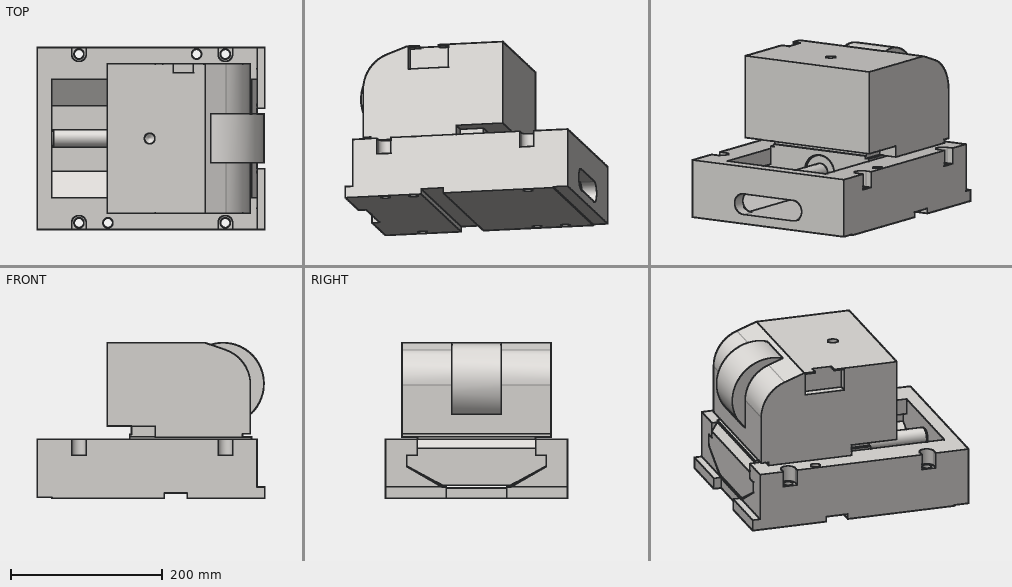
import cadquery as cq
import math

BASE_LENGTH = 300.0
BASE_WIDTH = 240.0
BASE_HEIGHT = 78.0
BODY_END_X = 289.8
FOOT_HEIGHT = 15.0
FOOT_NOTCH_WIDTH = 79.2
KEYWAY_X = 167.7
KEYWAY_WIDTH = 30.0
KEYWAY_DEPTH = 7.0
HEEL_LENGTH = 19.5
HEEL_RELIEF = 1.2

END_WALL = 19.5
LIP_HALF_WIDTH = 77.7
LIP_Z = 57.0
GROOVE_HALF_WIDTH = 91.5
CHANNEL_GROOVE_Z = 41.7
CHANNEL_FLOOR_HALF_WIDTH = 43.2
CHANNEL_FLOOR_Z = 13.8
SLIDE_GROOVE_Z = 42.3
SLIDE_FLOOR_HALF_WIDTH = 45.0
SLIDE_FLOOR_Z = 17.0

HANDHOLE_WIDTH = 106.2
HANDHOLE_HEIGHT = 27.5
HANDHOLE_Z = CHANNEL_FLOOR_Z + HANDHOLE_HEIGHT / 2

HOLE_DIAMETER = 12.5
HOLE_ROW_Y = 111.0
BOLT_XS = (55.2, 247.8)
SEAT_WIDTH = 19.2
SEAT_DEPTH = 21.0
DOWEL_PLACES = ((210.0, HOLE_ROW_Y), (93.3, -HOLE_ROW_Y))

TOTAL_HEIGHT = 205.0
HEAD_WIDTH = 196.5
HEAD_START_X = 92.5
HEAD_END_X = 280.8
HEAD_BOTTOM_Z = 95.0
SLOPE_START_X = 221.0
NOSE_START_X = 248.5
NOSE_START_Z = 195.3
SLIDE_START_X = 121.8
SLIDE_END_X = 282.3
SLIDE_TOP_Z = 81.0
BEVEL_BOTTOM_Z = 66.0
LEDGE_TOP_Z = 84.3
CORE_START_X = 124.2
CORE_WIDTH = 145.2
SKIRT_START_X = 155.5
SKIRT_END_X = 270.5
SKIRT_BOTTOM_Z = 80.5
NOSE_BOTTOM_Z = 85.0

ROLLER_RADIUS = 54.0
ROLLER_WIDTH = 64.5
ROLLER_X = 244.8
ROLLER_Z = TOTAL_HEIGHT - ROLLER_RADIUS

OIL_HOLE_X = 148.2
OIL_HOLE_DIAMETER = 13.8
OIL_HOLE_DEPTH = 30.0
DRILL_TIP_ANGLE = 118.0
SIDE_SLOT_X = 179.5
SIDE_SLOT_WIDTH = 26.5
SIDE_RECESS_WIDTH = 54.0
SIDE_RECESS_DEPTH = 11.7
SIDE_RECESS_BOTTOM_Z = 174.0
LID_THICKNESS = 1.8

SCREW_RADIUS = 11.7
SCREW_Z = 54.5
SCREW_START_X = END_WALL
SCREW_END_X = 210.0
SCREW_CHAMFER = 2.5
RECESS_RADIUS = 23.5
RECESS_DEPTH = 1.8
RECESS_TAPER = 30.0


def block(x_start, x_end, width, z_start, z_end):
    """Box centred on Y = 0."""
    return (
        cq.Workplane("XY")
        .box(x_end - x_start, width, z_end - z_start, centered=(False, True, False))
        .translate((x_start, 0, z_start))
    )


def rod(radius, x_start, x_end):
    """Round rod on the screw axis."""
    return cq.Workplane("YZ", origin=(x_start, 0, SCREW_Z)).circle(radius).extrude(x_end - x_start)


def guide_prism(x_start, x_end, top_z, groove_z, floor_half_width, floor_z):
    """Guide section: straight lips, a wider groove and slopes down to a flat floor."""
    half = [
        (LIP_HALF_WIDTH, top_z),
        (LIP_HALF_WIDTH, LIP_Z),
        (GROOVE_HALF_WIDTH, LIP_Z),
        (GROOVE_HALF_WIDTH, groove_z),
        (floor_half_width, floor_z),
    ]
    mirrored = [(-y, z) for y, z in reversed(half)]
    return (
        cq.Workplane("YZ", origin=(x_start, 0, 0))
        .polyline(half + mirrored)
        .close()
        .extrude(x_end - x_start)
    )


def bolt_seat(x, side):
    """U-shaped seat open to the side of the base."""
    reach = BASE_WIDTH / 2 - HOLE_ROW_Y
    seat_floor = cq.Workplane("XY", origin=(x, side * HOLE_ROW_Y, BASE_HEIGHT - SEAT_DEPTH))
    round_end = seat_floor.circle(SEAT_WIDTH / 2).extrude(SEAT_DEPTH)
    mouth = seat_floor.center(0, side * reach / 2).rect(SEAT_WIDTH, reach).extrude(SEAT_DEPTH)
    return round_end.union(mouth)


def make_base():
    """Base block with a foot, keyway, guide channel, handhole, bolt holes and dowel holes."""
    base = block(0, BODY_END_X, BASE_WIDTH, 0, BASE_HEIGHT)
    base = base.union(block(0, BASE_LENGTH, BASE_WIDTH, 0, FOOT_HEIGHT))
    base = base.cut(block(BODY_END_X, BASE_LENGTH, FOOT_NOTCH_WIDTH, 0, FOOT_HEIGHT))
    base = base.cut(block(KEYWAY_X, KEYWAY_X + KEYWAY_WIDTH, BASE_WIDTH, 0, KEYWAY_DEPTH))
    base = base.cut(block(0, HEEL_LENGTH, BASE_WIDTH, 0, HEEL_RELIEF))
    channel = guide_prism(
        END_WALL, BODY_END_X, BASE_HEIGHT, CHANNEL_GROOVE_Z, CHANNEL_FLOOR_HALF_WIDTH, CHANNEL_FLOOR_Z
    )
    base = base.cut(channel)
    handhole = (
        cq.Workplane("YZ", origin=(0, 0, HANDHOLE_Z))
        .slot2D(HANDHOLE_WIDTH, HANDHOLE_HEIGHT)
        .extrude(END_WALL)
    )
    base = base.cut(handhole)

    bolt_places = [(x, side * HOLE_ROW_Y) for x in BOLT_XS for side in (-1, 1)]
    holes = (
        cq.Workplane("XY")
        .pushPoints(bolt_places + list(DOWEL_PLACES))
        .circle(HOLE_DIAMETER / 2)
        .extrude(BASE_HEIGHT)
    )
    base = base.cut(holes)
    for x in BOLT_XS:
        for side in (-1, 1):
            base = base.cut(bolt_seat(x, side))
    return base


def make_head():
    """Head block with a sloped top that runs into a rounded nose."""
    slope = math.atan2(TOTAL_HEIGHT - NOSE_START_Z, NOSE_START_X - SLOPE_START_X)
    nose_radius = (HEAD_END_X - NOSE_START_X) / (1 - math.sin(slope))
    nose_x = HEAD_END_X - nose_radius
    nose_z = NOSE_START_Z - nose_radius * math.cos(slope)
    mid_angle = (math.pi / 2 - slope) / 2
    nose_middle = (nose_x + nose_radius * math.cos(mid_angle), nose_z + nose_radius * math.sin(mid_angle))
    return (
        cq.Workplane("XZ", origin=(0, HEAD_WIDTH / 2, 0))
        .moveTo(HEAD_START_X, HEAD_BOTTOM_Z)
        .lineTo(HEAD_START_X, TOTAL_HEIGHT)
        .lineTo(SLOPE_START_X, TOTAL_HEIGHT)
        .lineTo(NOSE_START_X, NOSE_START_Z)
        .threePointArc(nose_middle, (HEAD_END_X, nose_z))
        .lineTo(HEAD_END_X, NOSE_BOTTOM_Z)
        .lineTo(SKIRT_END_X, NOSE_BOTTOM_Z)
        .lineTo(SKIRT_END_X, SKIRT_BOTTOM_Z)
        .lineTo(SKIRT_START_X, SKIRT_BOTTOM_Z)
        .lineTo(SKIRT_START_X, HEAD_BOTTOM_Z)
        .close()
        .extrude(HEAD_WIDTH)
    )


def make_oil_hole():
    """Drilled blind hole with a conical bottom."""
    radius = OIL_HOLE_DIAMETER / 2
    tip = radius / math.tan(math.radians(DRILL_TIP_ANGLE / 2))
    return (
        cq.Workplane("XZ", origin=(OIL_HOLE_X, 0, TOTAL_HEIGHT))
        .polyline([(0, 0), (radius, 0), (radius, -OIL_HOLE_DEPTH), (0, -OIL_HOLE_DEPTH - tip)])
        .close()
        .revolve(360, (0, 0), (0, 1))
    )


def make_slide():
    """Slide that fits the guide channel, bevelled at the foot end, with a raised core under the head."""
    slide = guide_prism(
        SLIDE_START_X, BODY_END_X, SLIDE_TOP_Z, SLIDE_GROOVE_Z, SLIDE_FLOOR_HALF_WIDTH, SLIDE_FLOOR_Z
    )
    bevel = (
        cq.Workplane("XZ", origin=(0, BASE_WIDTH / 2, 0))
        .moveTo(SLIDE_END_X, SLIDE_TOP_Z)
        .lineTo(SLIDE_END_X, BASE_HEIGHT)
        .lineTo(BODY_END_X, BEVEL_BOTTOM_Z)
        .lineTo(BODY_END_X, SLIDE_TOP_Z)
        .close()
        .extrude(BASE_WIDTH)
    )
    slide = slide.cut(bevel)
    ledge = block(SLIDE_START_X, SKIRT_END_X, CORE_WIDTH, SLIDE_TOP_Z, LEDGE_TOP_Z)
    core = block(CORE_START_X, SKIRT_END_X, CORE_WIDTH, SLIDE_TOP_Z, HEAD_BOTTOM_Z)
    return slide.union(ledge).union(core)


def make_side_recess():
    """Recess in the +Y side under a thin lid, with a slot up through the lid."""
    floor_y = HEAD_WIDTH / 2 - SIDE_RECESS_DEPTH
    slot_height = TOTAL_HEIGHT - SIDE_RECESS_BOTTOM_Z
    slot_middle = SIDE_SLOT_X + SIDE_SLOT_WIDTH / 2
    recess = (
        cq.Workplane("XY", origin=(slot_middle - SIDE_RECESS_WIDTH / 2, floor_y, SIDE_RECESS_BOTTOM_Z))
        .box(SIDE_RECESS_WIDTH, SIDE_RECESS_DEPTH, slot_height - LID_THICKNESS, centered=False)
    )
    slot = (
        cq.Workplane("XY", origin=(SIDE_SLOT_X, floor_y, SIDE_RECESS_BOTTOM_Z))
        .box(SIDE_SLOT_WIDTH, SIDE_RECESS_DEPTH, slot_height, centered=False)
    )
    return recess.union(slot)


def make_bore():
    """Screw hole with a shallow tapered recess around its mouth."""
    recess = (
        cq.Workplane("YZ", origin=(SLIDE_START_X, 0, SCREW_Z))
        .circle(RECESS_RADIUS)
        .extrude(RECESS_DEPTH, taper=RECESS_TAPER)
    )
    return recess.union(rod(SCREW_RADIUS, SLIDE_START_X, SCREW_END_X))


def make_roller():
    """Round drum let into the nose of the head."""
    return (
        cq.Workplane("XZ", origin=(ROLLER_X, ROLLER_WIDTH / 2, ROLLER_Z))
        .circle(ROLLER_RADIUS)
        .extrude(ROLLER_WIDTH)
    )


def make_carriage():
    """Head, slide and drum in one body."""
    carriage = make_head().union(make_slide()).union(make_roller())
    return carriage.cut(make_oil_hole()).cut(make_side_recess()).cut(make_bore())


def make_screw():
    """Plain round screw from the end wall into the carriage."""
    screw = rod(SCREW_RADIUS, SCREW_START_X, SCREW_END_X)
    return screw.faces("<X").chamfer(SCREW_CHAMFER)


base = make_base()
carriage = make_carriage()
screw = make_screw()

result = cq.Compound.makeCompound([base.val(), carriage.val(), screw.val()])